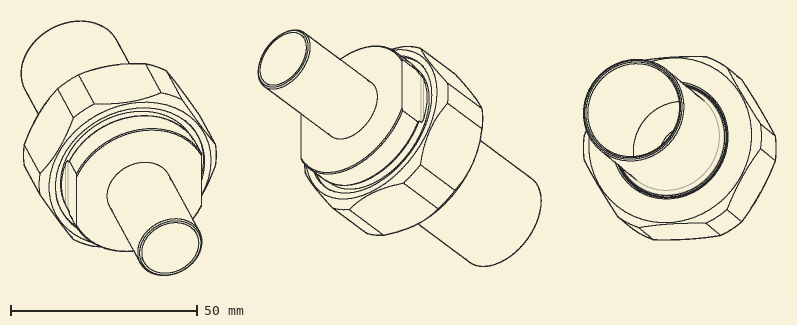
import cadquery as cq
import math

total_length = 93.0
shoulder_start = 35.6
nut_start = 36.5
nut_length = 19.0
nut_end = nut_start + nut_length
flange_start = 57.2
flange_end = 64.0

large_tube_diameter = 28.0
large_tube_bore = 25.6
tube_edge_chamfer = 0.4
shoulder_diameter = 31.0
shoulder_fillet = 1.0
shoulder_chamfer = 0.3
collar_diameter = 38.4
collar_thickness = 4.0

nut_across_flats = 46.0
nut_corner_diameter = 49.67
nut_face_diameter = 45.4
nut_lip_bore = 31.5
nut_lip_chamfer = 0.4
nut_lip_thickness = 5.0
thread_diameter = 41.8

neck_diameter = 38.4
neck_end = 56.7
flange_diameter = 38.95
flange_edge_chamfer = 0.3
wrench_across_flats = 35.0
flat_runout_radius = 0.5
flat_wall_inset = 0.1
small_tube_diameter = 18.0
small_tube_bore = 16.0
bore_taper_half_angle = 30.0
thread_end_gap = 1.0

lip_end = nut_start + nut_lip_thickness
joint = lip_end + collar_thickness
thread_end = nut_end - thread_end_gap
flat_wall = nut_end - flat_wall_inset
bore_step = (large_tube_bore - small_tube_bore) / 2
bore_taper_length = bore_step / math.tan(math.radians(bore_taper_half_angle))


def x_cylinder(diameter, start, end):
    """Cylinder about the X axis between two stations."""
    return cq.Workplane("YZ", origin=(start, 0, 0)).circle(diameter / 2).extrude(end - start)


def quarter_arc_middle(radius):
    """Distance from the centre to the middle of a quarter arc, along either axis."""
    return radius * math.sqrt(0.5)


def make_tail_piece():
    """Large tube, filleted shoulder that fills the nut lip, and collar behind the lip."""
    tube = large_tube_diameter / 2
    bore = large_tube_bore / 2
    shoulder = shoulder_diameter / 2
    collar = collar_diameter / 2
    edge = tube_edge_chamfer
    shoulder_face = shoulder_start + shoulder_fillet
    arc_middle = quarter_arc_middle(shoulder_fillet)
    return (
        cq.Workplane("XY")
        .moveTo(0, bore + edge)
        .lineTo(0, tube - edge)
        .lineTo(edge, tube)
        .lineTo(shoulder_start, tube)
        .threePointArc(
            (shoulder_start + arc_middle, tube + shoulder_fillet - arc_middle),
            (shoulder_face, tube + shoulder_fillet),
        )
        .lineTo(shoulder_face, shoulder - shoulder_chamfer)
        .lineTo(shoulder_face + shoulder_chamfer, shoulder)
        .lineTo(lip_end, shoulder)
        .lineTo(lip_end, collar)
        .lineTo(joint, collar)
        .lineTo(joint, bore)
        .lineTo(edge, bore)
        .close()
        .revolve(360, (0, 0, 0), (1, 0, 0))
    )


def make_nut():
    """Hexagon with turned corners, both ends chamfered, bored for shoulder and thread."""
    hexagon = (
        cq.Workplane("YZ", origin=(nut_start, 0, 0))
        .polygon(6, nut_across_flats / math.cos(math.pi / 6))
        .extrude(nut_length)
    )
    chamfer = (nut_corner_diameter - nut_face_diameter) / 2
    blank = x_cylinder(nut_corner_diameter, nut_start, nut_end).edges().chamfer(chamfer)
    lip_hole = x_cylinder(nut_lip_bore, nut_start, lip_end)
    thread_hole = x_cylinder(thread_diameter, lip_end, nut_end)
    nut = hexagon.intersect(blank).cut(lip_hole).cut(thread_hole)
    lip_edge = cq.selectors.RadiusNthSelector(0)
    return nut.faces("<X").edges("%CIRCLE").edges(lip_edge).chamfer(nut_lip_chamfer)


def make_wrench_flat_cutter():
    """Block that cuts the +Y wrench flat and leaves a filleted run-out beside the nut."""
    flat = wrench_across_flats / 2
    outside = flange_diameter
    radius = flat_runout_radius
    arc_middle = quarter_arc_middle(radius)
    return (
        cq.Workplane("XY")
        .moveTo(flange_end, flat)
        .lineTo(flange_end, outside)
        .lineTo(flat_wall, outside)
        .lineTo(flat_wall, flat + radius)
        .threePointArc(
            (flat_wall + radius - arc_middle, flat + radius - arc_middle),
            (flat_wall + radius, flat),
        )
        .close()
        .extrude(flange_diameter / 2, both=True)
    )


def make_connector():
    """Threaded end with tapered bore, flange with two wrench flats, and small tube."""
    thread = thread_diameter / 2
    neck = neck_diameter / 2
    flange = flange_diameter / 2
    tube = small_tube_diameter / 2
    bore = small_tube_bore / 2
    outline = [
        (joint, large_tube_bore / 2),
        (joint, thread),
        (thread_end, thread),
        (thread_end, neck),
        (neck_end, neck),
        (flange_start, flange),
        (flange_end - flange_edge_chamfer, flange),
        (flange_end, flange - flange_edge_chamfer),
        (flange_end, tube),
        (total_length - tube_edge_chamfer, tube),
        (total_length, tube - tube_edge_chamfer),
        (total_length, bore),
        (joint + bore_taper_length, bore),
    ]
    body = cq.Workplane("XY").polyline(outline).close().revolve(360, (0, 0, 0), (1, 0, 0))
    cutter = make_wrench_flat_cutter()
    return body.cut(cutter).cut(cutter.mirror("XZ"))


tail_piece = make_tail_piece()
nut = make_nut()
connector = make_connector()

result = cq.Compound.makeCompound([tail_piece.val(), nut.val(), connector.val()])